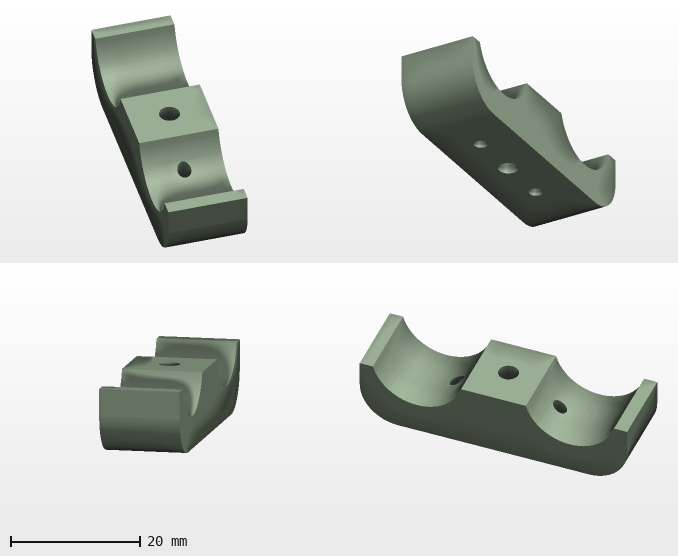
import cadquery as cq

length = 44.45
width = 12.7
height = 10.65
bottom_corner_radius = 6.35

cradle_radius = 7.6
cradle_spacing = 25.43
cradle_depth = 5.55

center_hole_diameter = 3.25
side_hole_diameter = 2.2
side_hole_spacing = 17.15


def make_block():
    block = cq.Workplane("XY").box(length, width, height, centered=(True, True, False))
    return block.faces("<Z").edges("|Y").fillet(bottom_corner_radius)


def cut_cradles(body):
    axis_height = height - cradle_depth + cradle_radius
    cradles = (
        cq.Workplane("XZ")
        .pushPoints([(side * cradle_spacing / 2, axis_height) for side in (-1, 1)])
        .circle(cradle_radius)
        .extrude(width / 2, both=True)
    )
    return body.cut(cradles)


def drill_through(body, x, diameter):
    drill = cq.Workplane("XY").center(x, 0).circle(diameter / 2).extrude(height)
    return body.cut(drill)


result = cut_cradles(make_block())
result = drill_through(result, 0, center_hole_diameter)
for side in (-1, 1):
    result = drill_through(result, side * side_hole_spacing / 2, side_hole_diameter)